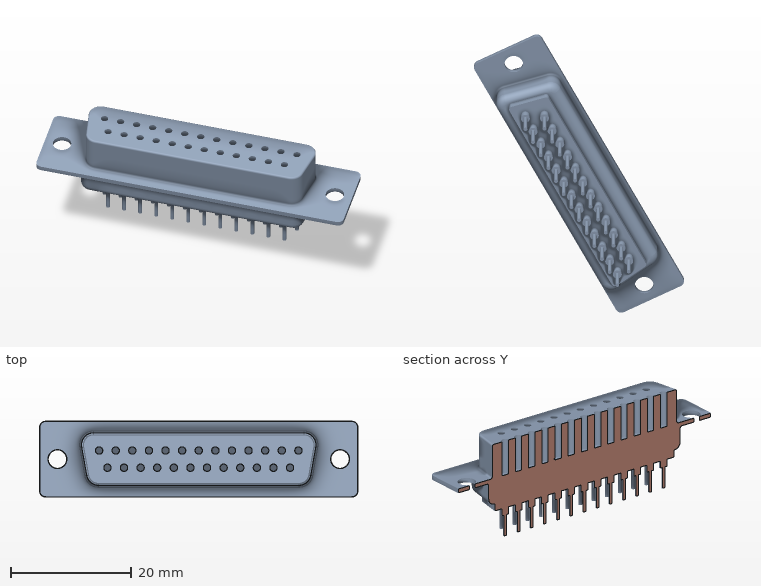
import cadquery as cq
import math

FLANGE_LENGTH = 53.0
FLANGE_WIDTH = 12.6
FLANGE_THICKNESS = 0.8
FLANGE_CORNER_RADIUS = 1.0
MOUNT_HOLE_DIAMETER = 3.1
MOUNT_HOLE_SPACING = 47.05

FLANK_ANGLE = 10.0
EDGE_FILLET = 0.3

SHELL_MEAN_LENGTH = 38.25
SHELL_WIDTH = 8.75
SHELL_CORNER_RADIUS = 2.0
SHELL_HEIGHT = 6.15

HOUSING_MEAN_LENGTH = 39.75
HOUSING_WIDTH = 11.0
HOUSING_CORNER_RADIUS = 1.8
HOUSING_DEPTH = 4.0
HOUSING_BOTTOM_FILLET = 1.25

PAD_MEAN_LENGTH = 37.1
PAD_WIDTH = 6.9
PAD_CORNER_RADIUS = 0.6
PAD_DEPTH = 1.25

LONG_ROW_COUNT = 13
LONG_ROW_SPAN = 33.2
ROW_SPACING = 2.85
CONTACT_PITCH = LONG_ROW_SPAN / (LONG_ROW_COUNT - 1)
SOCKET_DIAMETER = 1.2
SOCKET_DEPTH = SHELL_HEIGHT
BARREL_DIAMETER = 1.5
BARREL_LENGTH = 1.25
PIN_DIAMETER = 0.65
PIN_LENGTH = 3.75

SHELL_TOP = FLANGE_THICKNESS + SHELL_HEIGHT
HOUSING_BOTTOM = -HOUSING_DEPTH
PAD_BOTTOM = HOUSING_BOTTOM - PAD_DEPTH
BARREL_BOTTOM = PAD_BOTTOM - BARREL_LENGTH
PIN_BOTTOM = BARREL_BOTTOM - PIN_LENGTH


def d_prism(mean_length, width, corner_radius, bottom, top):
    """Upright prism with a D-connector outline, longer on its +Y side."""
    half_width = width / 2
    flank_shift = half_width * math.tan(math.radians(FLANK_ANGLE))
    long_half = mean_length / 2 + flank_shift
    short_half = mean_length / 2 - flank_shift
    corners = [
        (-long_half, half_width),
        (-short_half, -half_width),
        (short_half, -half_width),
        (long_half, half_width),
    ]
    prism = cq.Workplane("XY").workplane(offset=bottom).polyline(corners).close().extrude(top - bottom)
    return prism.edges("|Z").fillet(corner_radius)


def contact_cylinders(diameter, bottom, top):
    """One upright cylinder at every contact position."""
    return (
        cq.Workplane("XY")
        .workplane(offset=bottom)
        .pushPoints(contact_points)
        .circle(diameter / 2)
        .extrude(top - bottom)
    )


def row_points(count, y):
    """Contact positions of one row, centred on X = 0."""
    first_x = -(count - 1) * CONTACT_PITCH / 2
    return [(first_x + i * CONTACT_PITCH, y) for i in range(count)]


def root_edges(z):
    """Selector for the edges at height z that lie inside the flange outline."""
    half_length = FLANGE_LENGTH / 2 - FLANGE_CORNER_RADIUS
    half_width = HOUSING_WIDTH / 2
    half_height = FLANGE_THICKNESS / 4
    return cq.selectors.BoxSelector(
        (-half_length, -half_width, z - half_height),
        (half_length, half_width, z + half_height),
    )


contact_points = row_points(LONG_ROW_COUNT, ROW_SPACING / 2)
contact_points += row_points(LONG_ROW_COUNT - 1, -ROW_SPACING / 2)

flange = (
    cq.Workplane("XY")
    .rect(FLANGE_LENGTH, FLANGE_WIDTH)
    .extrude(FLANGE_THICKNESS)
    .edges("|Z")
    .fillet(FLANGE_CORNER_RADIUS)
)

shell = d_prism(SHELL_MEAN_LENGTH, SHELL_WIDTH, SHELL_CORNER_RADIUS, FLANGE_THICKNESS, SHELL_TOP)
shell = shell.faces(">Z").edges().fillet(EDGE_FILLET)
housing = d_prism(HOUSING_MEAN_LENGTH, HOUSING_WIDTH, HOUSING_CORNER_RADIUS, HOUSING_BOTTOM, 0)
housing = housing.faces("<Z").edges().fillet(HOUSING_BOTTOM_FILLET)
body = flange.union(shell).union(housing)

for flange_face_z in (0, FLANGE_THICKNESS):
    body = body.edges(root_edges(flange_face_z)).fillet(EDGE_FILLET)

body = (
    body.faces(">Z")
    .workplane(origin=(0, 0, 0))
    .rarray(MOUNT_HOLE_SPACING, 0.55, 2, 1)
    .hole(MOUNT_HOLE_DIAMETER)
)

pad = d_prism(PAD_MEAN_LENGTH, PAD_WIDTH, PAD_CORNER_RADIUS, PAD_BOTTOM, HOUSING_BOTTOM)
barrels = contact_cylinders(BARREL_DIAMETER, BARREL_BOTTOM, PAD_BOTTOM)
pins = contact_cylinders(PIN_DIAMETER, PIN_BOTTOM, BARREL_BOTTOM)
body = body.union(pad).union(barrels).union(pins)

sockets = contact_cylinders(SOCKET_DIAMETER, SHELL_TOP - SOCKET_DEPTH, SHELL_TOP)
result = body.cut(sockets)